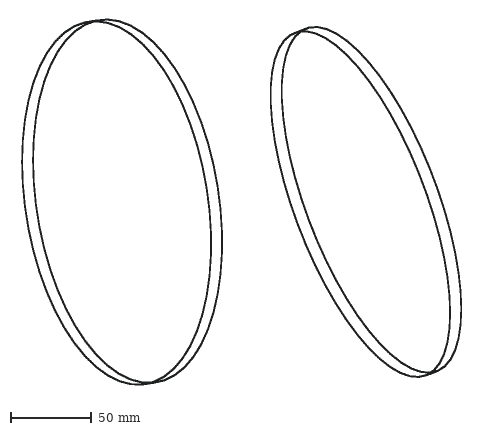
import cadquery as cq

OUTER_DIAMETER = 228.77
WALL_THICKNESS = 0.25
BAND_WIDTH = 8.0

outer_radius = OUTER_DIAMETER / 2
inner_radius = outer_radius - WALL_THICKNESS

band_end_plane = cq.Plane(
    origin=(0, -BAND_WIDTH / 2, 0),
    xDir=(-1, 0, 0),
    normal=(0, 1, 0),
)

result = (
    cq.Workplane(band_end_plane)
    .circle(outer_radius)
    .circle(inner_radius)
    .extrude(BAND_WIDTH)
)